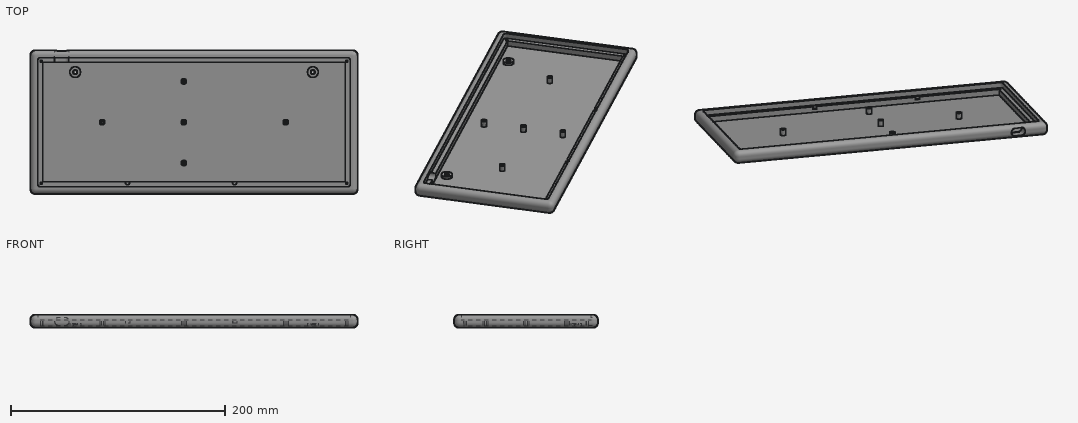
import cadquery as cq

length = 306.0
width = 134.6
height = 12.5
edge_radius = 5.0

rim_wall = 7.0
opening_corner_radius = 2.5
ledge_width = 4.5
ledge_z = 7.5
floor_z = 2.0
well_inset = rim_wall + ledge_width

ledge_hole_diameter = 1.8
ledge_hole_inset = 10.2
ledge_hole_x = length / 2 - ledge_hole_inset
ledge_hole_y = width / 2 - ledge_hole_inset
ledge_hole_points = [(sx * ledge_hole_x, sy * ledge_hole_y) for sx in (-1, 1) for sy in (-1, 1)]

key_pitch = 19.05
post_diameter = 5.0
post_hole_diameter = 2.0
post_top_z = 7.5
post_column_x = -key_pitch / 2
post_row_step = 2 * key_pitch
side_post_x = 4.5 * key_pitch
post_points = [(post_column_x, row * post_row_step) for row in (-1, 0, 1)]
post_points += [(-side_post_x, 0), (side_post_x, 0)]

boss_diameter = 10.0
boss_top_z = 4.5
boss_counterbore_diameter = 4.2
boss_counterbore_depth = 1.0
boss_hole_diameter = 3.2
boss_x = 111.0
boss_y = 46.8
boss_points = [(-boss_x, boss_y), (boss_x, boss_y)]

port_x = -123.6
port_width = 13.5
port_height = 7.4
port_centre_z = height / 2

relief_diameter = 4.0
relief_depth = 2.5
relief_y = -56.4
relief_points = [(-62.1, relief_y), (37.9, relief_y)]


def cylinders(points, diameter, bottom_z, top_z):
    """Upright cylinders at the given points between two heights."""
    plane = cq.Workplane("XY").workplane(offset=bottom_z)
    return plane.pushPoints(points).circle(diameter / 2).extrude(top_z - bottom_z)


def inset_block(inset, bottom_z):
    """Block inset from the outer sides, reaching from bottom_z to the top."""
    plane = cq.Workplane("XY").workplane(offset=bottom_z)
    return plane.rect(length - 2 * inset, width - 2 * inset).extrude(height - bottom_z)


def tray():
    """Rounded outer body, hollowed by the opening and the well."""
    block = cq.Workplane("XY").box(length, width, height, centered=(True, True, False))
    opening = inset_block(rim_wall, ledge_z).edges("|Z").fillet(opening_corner_radius)
    well = inset_block(well_inset, floor_z)
    return block.edges().fillet(edge_radius).cut(opening).cut(well)


def add_posts(body):
    body = body.union(cylinders(post_points, post_diameter, floor_z, post_top_z))
    return body.cut(cylinders(post_points, post_hole_diameter, floor_z, post_top_z))


def add_bosses(body):
    counterbore_z = boss_top_z - boss_counterbore_depth
    body = body.union(cylinders(boss_points, boss_diameter, floor_z, boss_top_z))
    body = body.cut(cylinders(boss_points, boss_counterbore_diameter, counterbore_z, boss_top_z))
    return body.cut(cylinders(boss_points, boss_hole_diameter, 0, boss_top_z))


def cut_ledge(body):
    """Corner screw holes down to floor level, and the front reliefs."""
    body = body.cut(cylinders(ledge_hole_points, ledge_hole_diameter, floor_z, ledge_z))
    return body.cut(cylinders(relief_points, relief_diameter, ledge_z - relief_depth, ledge_z))


def cut_cable_port(body):
    plane = cq.Workplane("XZ", origin=(port_x, width / 2, port_centre_z))
    return body.cut(plane.slot2D(port_width, port_height).extrude(well_inset))


result = tray()
result = add_posts(result)
result = add_bosses(result)
result = cut_ledge(result)
result = cut_cable_port(result)